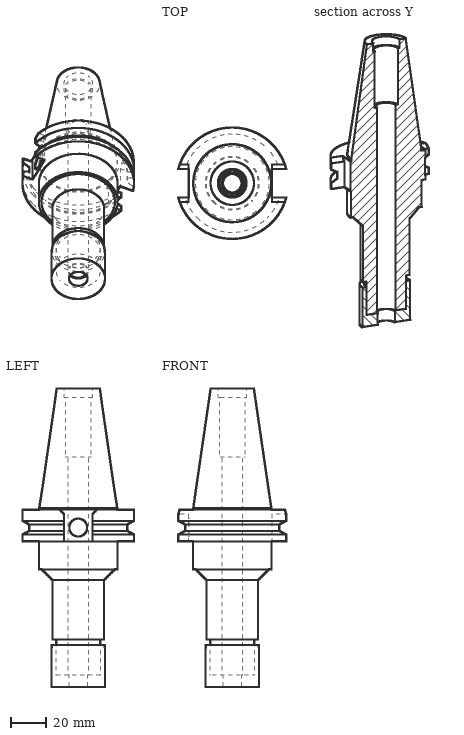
import cadquery as cq
import math

total_height = 169.8
nut_height = 24.0
nut_lead_height = 2.0
groove_top = 27.0
stem_top = 60.8
shank_bottom = 67.0
flange_bottom = 82.9
flange_thickness = 18.0
collar_height = 1.0
flange_top = flange_bottom + flange_thickness
taper_bottom = flange_top + collar_height

taper_large_radius = 22.3
collar_radius = 22.0
taper_ratio = 7 / 24
taper_small_radius = taper_large_radius - (total_height - taper_bottom) * taper_ratio / 2
shank_radius = 22.5
stem_radius = 14.8
neck_radius = 12.5
nut_radius = 15.3
nut_lead = 0.2
shoulder_radius = stem_radius + shank_bottom - stem_top

flange_radius = 31.8
v_root_radius = 28.0
v_root_bottom = 88.8
v_root_width = 3.5
v_flank_height = (flange_radius - v_root_radius) * math.tan(math.radians(30))

slot_width = 16.1
slot_chamfer = 2.5
slot_floor_left = 24.8
slot_floor_right = 22.6
spot_radius = 5.1
spot_depth = 0.3
spot_below_top = 10.2

pilot_radius = 8.2
pilot_depth = 5.1
thread_radius = 7.1
thread_depth = 34.0
through_radius = 5.8
nut_mouth_radius = 5.3

spigot_length = 17.0
spigot_bottom = nut_height - spigot_length


def revolved(profile):
    """Revolve a closed list of (radius, height) points about Z."""
    return cq.Workplane("XZ").polyline(profile).close().revolve(360, (0, 0, 0), (0, 1, 0))


def holder_blank():
    """Turned outside of the holder, from the spigot up to the small end of the taper."""
    v_root_top = v_root_bottom + v_root_width
    return revolved([
        (0, spigot_bottom),
        (neck_radius, spigot_bottom),
        (neck_radius, groove_top),
        (stem_radius, groove_top),
        (stem_radius, stem_top),
        (shoulder_radius, shank_bottom),
        (shank_radius, shank_bottom),
        (shank_radius, flange_bottom),
        (flange_radius, flange_bottom),
        (flange_radius, v_root_bottom - v_flank_height),
        (v_root_radius, v_root_bottom),
        (v_root_radius, v_root_top),
        (flange_radius, v_root_top + v_flank_height),
        (flange_radius, flange_top),
        (collar_radius, flange_top),
        (collar_radius, taper_bottom),
        (taper_large_radius, taper_bottom),
        (taper_small_radius, total_height),
        (0, total_height),
    ])


def holder_bore():
    """Pilot, threaded length and through bore, as one cutting body."""
    pilot_bottom = total_height - pilot_depth
    thread_bottom = pilot_bottom - thread_depth
    return revolved([
        (0, spigot_bottom),
        (through_radius, spigot_bottom),
        (through_radius, thread_bottom),
        (thread_radius, thread_bottom),
        (thread_radius, pilot_bottom),
        (pilot_radius, pilot_bottom),
        (pilot_radius, total_height),
        (0, total_height),
    ])


def slot_cutter(side, floor):
    """Driving slot with chamfered upper edges; side is -1 for -X and +1 for +X."""
    half = slot_width / 2
    chamfer_bottom = flange_top - slot_chamfer
    return (
        cq.Workplane("YZ", origin=(side * floor, 0, 0))
        .polyline([
            (-half, flange_bottom),
            (half, flange_bottom),
            (half, chamfer_bottom),
            (half + slot_chamfer, flange_top),
            (-half - slot_chamfer, flange_top),
            (-half, chamfer_bottom),
        ])
        .close()
        .extrude(side * (flange_radius - floor))
    )


def spot_cutter():
    """Shallow round recess in the floor of the -X slot."""
    return (
        cq.Workplane("YZ", origin=(-slot_floor_left, 0, flange_top - spot_below_top))
        .circle(spot_radius)
        .extrude(spot_depth)
    )


def make_holder():
    holder = holder_blank().cut(holder_bore())
    for side, floor in ((-1, slot_floor_left), (1, slot_floor_right)):
        holder = holder.cut(slot_cutter(side, floor))
    return holder.cut(spot_cutter())


def make_nut():
    """Clamping nut with a slightly tapered lead and a socket for the spigot."""
    return revolved([
        (nut_mouth_radius, 0),
        (nut_radius, 0),
        (nut_radius, nut_height - nut_lead_height),
        (nut_radius - nut_lead, nut_height),
        (neck_radius, nut_height),
        (neck_radius, spigot_bottom),
        (nut_mouth_radius, spigot_bottom),
    ])


holder = make_holder()
nut = make_nut()
result = cq.Compound.makeCompound([holder.solids().val(), nut.val()])